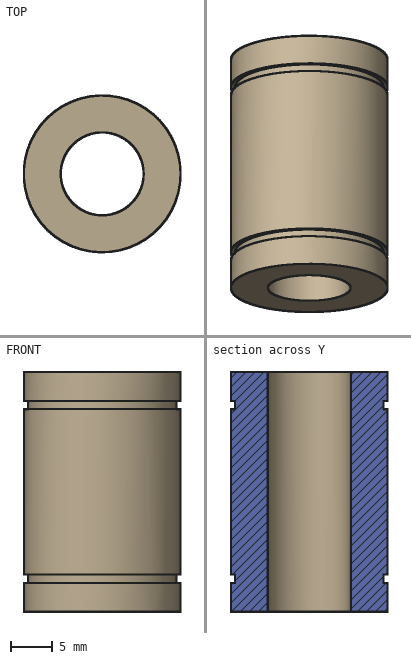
import cadquery as cq

length = 29.0
outer_diameter = 19.0
bore_diameter = 10.0
groove_diameter = 18.0
groove_width = 1.0
end_land = 3.5


def ring(outer, inner, height):
    """Ring around Z, standing on Z = 0."""
    return cq.Workplane("XY").circle(outer / 2).circle(inner / 2).extrude(height)


sleeve = ring(outer_diameter, bore_diameter, length).translate((0, 0, -length / 2))

groove_centre = length / 2 - end_land - groove_width / 2
groove = ring(outer_diameter, groove_diameter, groove_width)
for side in (-1, 1):
    groove_bottom = side * groove_centre - groove_width / 2
    sleeve = sleeve.cut(groove.translate((0, 0, groove_bottom)))

result = sleeve